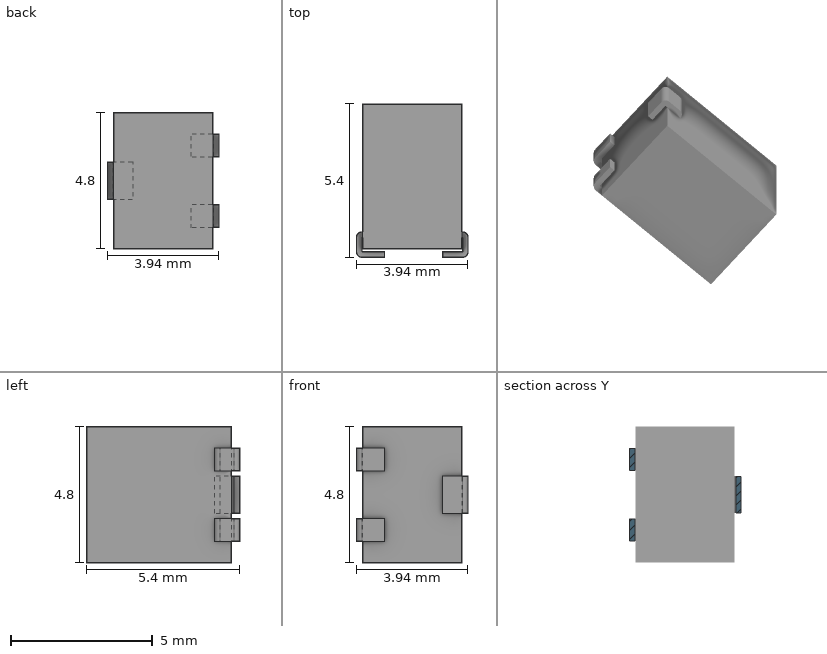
import cadquery as cq

body_width = 3.5
body_depth = 5.1
body_height = 4.8

strip_thickness = 0.2
bend_radius = strip_thickness
side_gap = 0.02
front_gap = 0.1
lead_depth = 0.9

left_lead_width = 0.8
left_lead_pitch = 2.48
left_foot_length = 1.0
right_lead_width = 1.32
right_foot_length = 0.9

body_front = strip_thickness + front_gap
body_side = body_width / 2
leg_outside = body_side + side_gap + strip_thickness


def make_body():
    return cq.Workplane("XY").box(body_width, body_depth, body_height).translate(
        (0, body_front + body_depth / 2, 0)
    )


def make_lead(side, foot_length, width, center_z):
    """C-shaped lead on the +X (side = 1) or -X (side = -1) face of the body."""
    root_end = body_side - strip_thickness
    leg_inside = leg_outside - strip_thickness

    outline = (
        cq.Workplane("XY")
        .workplane(offset=center_z - width / 2)
        .moveTo(side * (leg_outside - foot_length), 0)
        .lineTo(side * leg_outside, 0)
        .lineTo(side * leg_outside, lead_depth)
        .lineTo(side * root_end, lead_depth)
        .lineTo(side * root_end, lead_depth - strip_thickness)
        .lineTo(side * leg_inside, lead_depth - strip_thickness)
        .lineTo(side * leg_inside, strip_thickness)
        .lineTo(side * (leg_outside - foot_length), strip_thickness)
        .close()
    )
    outer_face = ">X" if side > 0 else "<X"
    return outline.extrude(width).faces(outer_face).edges("|Z").fillet(bend_radius)


result = make_body()
for center_z in (-left_lead_pitch / 2, left_lead_pitch / 2):
    result = result.union(make_lead(-1, left_foot_length, left_lead_width, center_z))
result = result.union(make_lead(1, right_foot_length, right_lead_width, 0))